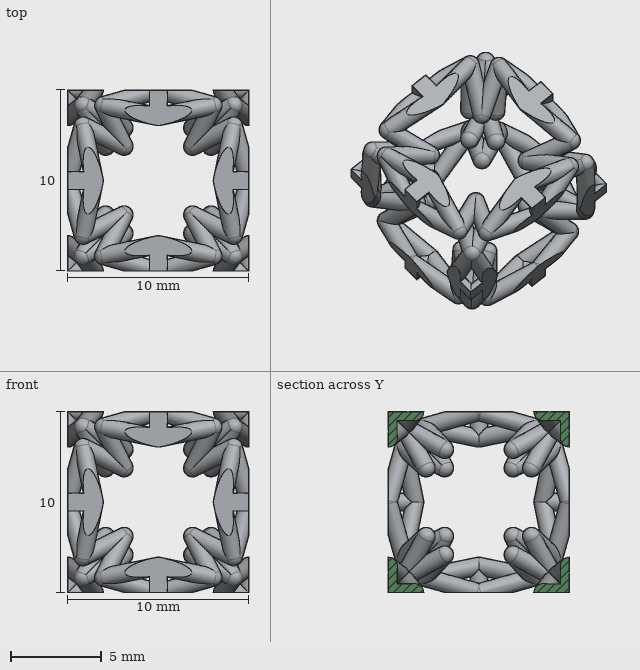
import cadquery as cq

cell_size = 10.0
half_cell = cell_size / 2
strut_radius = 0.5

outer_single = 3.02
outer_pair = 4.15
inner_single = 2.91
inner_pair = 1.89

face_joint_offset = 3.53

SIDES = (-1, 1)


def point(axis, along, first_across, second_across):
    """Point with the given coordinates on an axis and on the two axes that follow it."""
    coordinates = [0, 0, 0]
    coordinates[axis] = along
    coordinates[(axis + 1) % 3] = first_across
    coordinates[(axis + 2) % 3] = second_across
    return cq.Vector(*coordinates)


def ring_joint(octant, axis, single, pair):
    """Ring joint in an octant, with its single coordinate on the given axis."""
    coordinates = [pair * side for side in octant]
    coordinates[axis] = single * octant[axis]
    return cq.Vector(*coordinates)


def strut(start, end):
    """Round bar between two points."""
    span = end - start
    return cq.Solid.makeCylinder(strut_radius, span.Length, start, span)


def ball(centre):
    """Sphere that rounds the joint where struts meet."""
    return cq.Workplane("XY").sphere(strut_radius).translate(centre.toTuple()).val()


def ring_parts(octant):
    """Zigzag ring of six struts and six balls in one octant."""
    outer_joints = [ring_joint(octant, axis, outer_single, outer_pair) for axis in range(3)]
    inner_joints = [ring_joint(octant, axis, inner_single, inner_pair) for axis in range(3)]
    parts = [ball(centre) for centre in outer_joints + inner_joints]
    for axis, outer in enumerate(outer_joints):
        for step in (1, 2):
            parts.append(strut(outer, inner_joints[(axis + step) % 3]))
    return parts


def edge_parts(axis, first_side, second_side):
    """Struts around the middle of one cell edge, linking the two octants that share it."""
    edge_middle = point(axis, 0, first_side * half_cell, second_side * half_cell)
    face_joints = (
        point(axis, 0, first_side * half_cell, second_side * face_joint_offset),
        point(axis, 0, first_side * face_joint_offset, second_side * half_cell),
    )
    parts = []
    for on_face in face_joints:
        beyond_edge = edge_middle + (edge_middle - on_face)
        parts += [ball(on_face), strut(on_face, beyond_edge)]
        for end in SIDES:
            outer = point(axis, end * outer_single, first_side * outer_pair, second_side * outer_pair)
            parts.append(strut(outer, on_face))
    return parts


lattice_parts = []
for x_side in SIDES:
    for y_side in SIDES:
        for z_side in SIDES:
            lattice_parts += ring_parts((x_side, y_side, z_side))
for axis in range(3):
    for first_side in SIDES:
        for second_side in SIDES:
            lattice_parts += edge_parts(axis, first_side, second_side)

cell = cq.Workplane("XY").box(cell_size, cell_size, cell_size)
lattice = cq.Workplane(lattice_parts[0].fuse(*lattice_parts[1:]))
result = lattice.intersect(cell).solids()